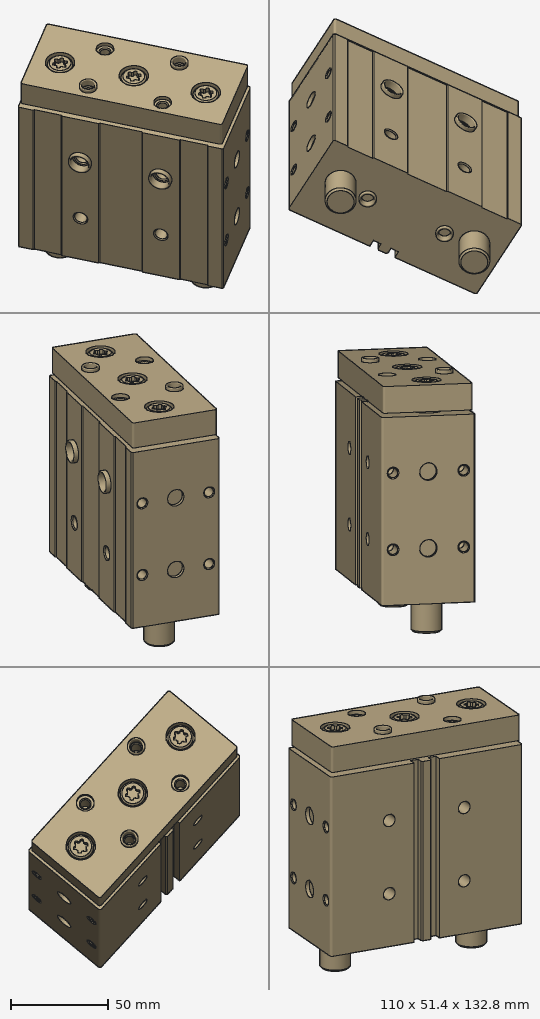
import cadquery as cq
import math


HOUSING_WIDTH = 110.0
HOUSING_DEPTH = 49.0
HOUSING_HEIGHT = 98.0
HOUSING_BOTTOM = 17.0
HOUSING_BACK_CORNER = 1.3
HOUSING_FRONT_CORNER = 0.7
HOUSING_TOP = HOUSING_BOTTOM + HOUSING_HEIGHT
FRONT_Y = -HOUSING_DEPTH / 2
BACK_Y = HOUSING_DEPTH / 2

CHANNEL_DEPTH = 0.5
CENTRE_CHANNEL_HALF = 11.8
SIDE_CHANNEL_INNER = 31.5
SIDE_CHANNEL_OUTER = 46.9

SENSOR_OPENING = 14.6
SENSOR_DEPTH = 4.0
RIB_WIDTH = 5.8
RIB_CHAMFER = 0.8

UPPER_LEVEL = 85.9
LEVEL_SPACING = 40.0
MOUNT_LEVELS = (UPPER_LEVEL, UPPER_LEVEL - LEVEL_SPACING)

MOUNT_HOLE_X = 21.5
MOUNT_HOLE = 6.6
MOUNT_HOLE_RIM = 7.8

SIDE_HOLE = 5.0
SIDE_HOLE_RIM = 6.1
SIDE_HOLE_DEPTH = 10.6
SIDE_HOLE_Y = 18.6
DRILL_ANGLE = 118.0

SMALL_SLEEVE = 9.0
SMALL_SLEEVE_BORE = 6.6
LARGE_SLEEVE = 12.0
LARGE_SLEEVE_BORE = 9.8
RECESS_DEPTH = 2.1
TOP_PROJECTION = 1.9
BOTTOM_PROJECTION = 1.7
FRONT_PROJECTION = 2.4
BOTTOM_SLEEVE_X = 22.5

PISTON_Y = -1.0
PISTON_ROD = 9.8
PISTON_ROD_INSERTION = 26.5
GUIDE_X = 39.0
GUIDE_Y = -2.5
GUIDE_ROD = 16.0
GUIDE_ROD_CHAMFER = 1.0

PLATE_INSET = 1.0
PLATE_WIDTH = HOUSING_WIDTH - 2 * PLATE_INSET
PLATE_DEPTH = HOUSING_DEPTH - 2 * PLATE_INSET
PLATE_CORNER = 1.2
PLATE_GAP = 2.0
PLATE_BOTTOM = HOUSING_TOP + PLATE_GAP
PLATE_TOP = 132.8 - TOP_PROJECTION
PLATE_THICKNESS = PLATE_TOP - PLATE_BOTTOM

PLATE_HOLE_X = 19.9
PLATE_HOLE_Y = 15.0
PLATE_HOLE = 4.9
PLATE_HOLE_RIM = 6.1

COUNTERBORE = 15.0
COUNTERBORE_DEPTH = 6.6
SCREW_HEAD = 13.0
SCREW_HEAD_CHAMFER = 0.9
SCREW_HEAD_DROP = 0.4
SOCKET_TIP = 7.7
SOCKET_ROOT = 5.6
SOCKET_DEPTH = 2.7
SOCKET_LOBE_WIDTH = 1.9
SOCKET_LOBE_ANGLES = (30, 90, 150)


def cylinder(diameter, length, base, direction):
    """Cylinder of a given length that starts at base and runs along direction."""
    return cq.Workplane(
        cq.Solid.makeCylinder(diameter / 2, length, cq.Vector(*base), cq.Vector(*direction))
    )


def cone(start_diameter, end_diameter, length, base, direction):
    """Cone or frustum that starts at base and runs along direction."""
    return cq.Workplane(
        cq.Solid.makeCone(
            start_diameter / 2, end_diameter / 2, length, cq.Vector(*base), cq.Vector(*direction)
        )
    )


def along(base, direction, distance):
    """Point at a distance from base along direction."""
    return tuple(b + distance * d for b, d in zip(base, direction))


def chamfered_hole(diameter, rim, depth, mouth, direction):
    """Round hole with a 45 degree chamfer at its mouth."""
    countersink = cone(rim, diameter, (rim - diameter) / 2, mouth, direction)
    return cylinder(diameter, depth, mouth, direction).union(countersink)


def channel(centre_x, mouth_width):
    """Full-height channel in the front face, narrowing to its floor at 45 degrees."""
    half_mouth = mouth_width / 2
    half_floor = half_mouth - CHANNEL_DEPTH
    return (
        cq.Workplane("XY", origin=(centre_x, FRONT_Y, HOUSING_BOTTOM))
        .moveTo(-half_mouth, 0)
        .lineTo(-half_floor, CHANNEL_DEPTH)
        .lineTo(half_floor, CHANNEL_DEPTH)
        .lineTo(half_mouth, 0)
        .close()
        .extrude(HOUSING_HEIGHT)
    )


def front_channels():
    """Centre channel and the two side channels of the front face."""
    side_width = SIDE_CHANNEL_OUTER - SIDE_CHANNEL_INNER
    side_x = (SIDE_CHANNEL_OUTER + SIDE_CHANNEL_INNER) / 2
    channels = channel(0, 2 * CENTRE_CHANNEL_HALF)
    for x in (-side_x, side_x):
        channels = channels.union(channel(x, side_width))
    return channels


def sensor_slots():
    """Back opening with its central rib left standing."""
    bottom = cq.Workplane("XY", origin=(0, BACK_Y - SENSOR_DEPTH / 2, HOUSING_BOTTOM))
    opening = bottom.rect(SENSOR_OPENING, SENSOR_DEPTH).extrude(HOUSING_HEIGHT)
    rib = bottom.rect(RIB_WIDTH, SENSOR_DEPTH).extrude(HOUSING_HEIGHT)
    rib = rib.edges("|Z and >Y").chamfer(RIB_CHAMFER)
    return opening.cut(rib)


def side_holes(side):
    """Blind holes and centring recesses in one side face (side is -1 or 1)."""
    face_x = side * HOUSING_WIDTH / 2
    inward = (-side, 0, 0)
    tip_length = SIDE_HOLE / 2 / math.tan(math.radians(DRILL_ANGLE / 2))
    cutter = cq.Workplane()
    for z in MOUNT_LEVELS:
        cutter = cutter.add(cylinder(SMALL_SLEEVE, RECESS_DEPTH, (face_x, 0, z), inward))
        for y in (-SIDE_HOLE_Y, SIDE_HOLE_Y):
            mouth = (face_x, y, z)
            bottom = along(mouth, inward, SIDE_HOLE_DEPTH)
            hole = chamfered_hole(SIDE_HOLE, SIDE_HOLE_RIM, SIDE_HOLE_DEPTH, mouth, inward)
            cutter = cutter.add(hole.union(cone(SIDE_HOLE, 0, tip_length, bottom, inward)))
    return cutter.combine()


def front_holes():
    """Through holes from front to back, with sleeve recesses at the upper level."""
    inward = (0, 1, 0)
    cutter = cq.Workplane()
    for x in (-MOUNT_HOLE_X, MOUNT_HOLE_X):
        upper = (x, FRONT_Y, UPPER_LEVEL)
        cutter = cutter.add(cylinder(LARGE_SLEEVE, RECESS_DEPTH, upper, inward))
        for z, rim_depth in zip(MOUNT_LEVELS, (RECESS_DEPTH, 0)):
            mouth = along((x, FRONT_Y, z), inward, rim_depth)
            cutter = cutter.add(
                chamfered_hole(MOUNT_HOLE, MOUNT_HOLE_RIM, HOUSING_DEPTH, mouth, inward)
            )
    return cutter.combine()


def make_housing():
    body = (
        cq.Workplane("XY", origin=(0, 0, HOUSING_BOTTOM))
        .rect(HOUSING_WIDTH, HOUSING_DEPTH)
        .extrude(HOUSING_HEIGHT)
        .edges("|Z and >Y")
        .fillet(HOUSING_BACK_CORNER)
        .edges("|Z and <Y")
        .chamfer(HOUSING_FRONT_CORNER)
    )
    body = body.cut(front_channels()).cut(sensor_slots()).cut(front_holes())
    for side in (-1, 1):
        body = body.cut(side_holes(side))
        guide_base = (side * GUIDE_X, GUIDE_Y, HOUSING_BOTTOM)
        body = body.cut(cylinder(GUIDE_ROD, HOUSING_HEIGHT, guide_base, (0, 0, 1)))
        recess_base = (side * BOTTOM_SLEEVE_X, PISTON_Y, HOUSING_BOTTOM)
        body = body.cut(cylinder(SMALL_SLEEVE, RECESS_DEPTH, recess_base, (0, 0, 1)))
    piston_mouth = (0, PISTON_Y, HOUSING_TOP)
    return body.cut(cylinder(PISTON_ROD, PISTON_ROD_INSERTION, piston_mouth, (0, 0, -1)))


def lobed_socket(top):
    """Six-lobed screw socket that runs down from top."""
    plane = cq.Workplane("XY", origin=top)
    socket = plane.circle(SOCKET_ROOT / 2).extrude(-SOCKET_DEPTH)
    for angle in SOCKET_LOBE_ANGLES:
        lobes = plane.slot2D(SOCKET_TIP, SOCKET_LOBE_WIDTH, angle).extrude(-SOCKET_DEPTH)
        socket = socket.union(lobes)
    return socket


def add_screw(plate, x, y):
    """Counterbore in the plate with a chamfered, socketed screw head standing in it."""
    plate = plate.cut(cylinder(COUNTERBORE, COUNTERBORE_DEPTH, (x, y, PLATE_TOP), (0, 0, -1)))
    floor = PLATE_TOP - COUNTERBORE_DEPTH
    head = cylinder(SCREW_HEAD, COUNTERBORE_DEPTH - SCREW_HEAD_DROP, (x, y, floor), (0, 0, 1))
    head = head.faces(">Z").chamfer(SCREW_HEAD_CHAMFER)
    return plate.union(head).cut(lobed_socket((x, y, PLATE_TOP - SCREW_HEAD_DROP)))


def make_yoke():
    """Yoke plate with the piston rod and the three fastening screws."""
    plate = (
        cq.Workplane("XY", origin=(0, 0, PLATE_BOTTOM))
        .rect(PLATE_WIDTH, PLATE_DEPTH)
        .extrude(PLATE_THICKNESS)
        .edges("|Z")
        .fillet(PLATE_CORNER)
    )
    down = (0, 0, -1)
    for x in (-PLATE_HOLE_X, PLATE_HOLE_X):
        for y in (PISTON_Y - PLATE_HOLE_Y, PISTON_Y + PLATE_HOLE_Y):
            plate = plate.cut(cylinder(SMALL_SLEEVE, RECESS_DEPTH, (x, y, PLATE_TOP), down))
            mouth = (x, y, PLATE_TOP - RECESS_DEPTH)
            plate = plate.cut(
                chamfered_hole(PLATE_HOLE, PLATE_HOLE_RIM, PLATE_THICKNESS, mouth, down)
            )
    for x, y in ((-GUIDE_X, GUIDE_Y), (0, PISTON_Y), (GUIDE_X, GUIDE_Y)):
        plate = add_screw(plate, x, y)
    rod_length = PLATE_GAP + PISTON_ROD_INSERTION
    return plate.union(cylinder(PISTON_ROD, rod_length, (0, PISTON_Y, PLATE_BOTTOM), down))


def make_guide_rod(x):
    rod = cylinder(GUIDE_ROD, PLATE_BOTTOM, (x, GUIDE_Y, 0), (0, 0, 1))
    return rod.faces("<Z").chamfer(GUIDE_ROD_CHAMFER)


def make_sleeve(diameter, bore, projection, mouth, outward):
    """Centring sleeve seated in a recess, with a half-round outer end (outward lies along Y or Z)."""
    inner_radius = bore / 2
    outer_radius = diameter / 2
    end_radius = (outer_radius - inner_radius) / 2
    length = RECESS_DEPTH + projection
    seat = along(mouth, outward, -RECESS_DEPTH)
    profile_normal = cq.Vector(1, 0, 0).cross(cq.Vector(*outward))
    profile_plane = cq.Plane(origin=seat, xDir=(1, 0, 0), normal=profile_normal)
    return (
        cq.Workplane(profile_plane)
        .moveTo(inner_radius, 0)
        .lineTo(outer_radius, 0)
        .lineTo(outer_radius, length - end_radius)
        .threePointArc((inner_radius + end_radius, length), (inner_radius, length - end_radius))
        .close()
        .revolve(360, (0, 0, 0), (0, 1, 0))
    )


housing = make_housing()
yoke = make_yoke()
guide_rods = [make_guide_rod(x) for x in (-GUIDE_X, GUIDE_X)]

top_sleeves = [
    make_sleeve(
        SMALL_SLEEVE,
        SMALL_SLEEVE_BORE,
        TOP_PROJECTION,
        (side * PLATE_HOLE_X, PISTON_Y + side * PLATE_HOLE_Y, PLATE_TOP),
        (0, 0, 1),
    )
    for side in (-1, 1)
]
bottom_sleeves = [
    make_sleeve(
        SMALL_SLEEVE,
        SMALL_SLEEVE_BORE,
        BOTTOM_PROJECTION,
        (x, PISTON_Y, HOUSING_BOTTOM),
        (0, 0, -1),
    )
    for x in (-BOTTOM_SLEEVE_X, BOTTOM_SLEEVE_X)
]
front_sleeves = [
    make_sleeve(
        LARGE_SLEEVE,
        LARGE_SLEEVE_BORE,
        FRONT_PROJECTION,
        (x, FRONT_Y, UPPER_LEVEL),
        (0, -1, 0),
    )
    for x in (-MOUNT_HOLE_X, MOUNT_HOLE_X)
]

bodies = [housing, yoke, *guide_rods, *top_sleeves, *bottom_sleeves, *front_sleeves]
result = cq.Compound.makeCompound([body.val() for body in bodies])